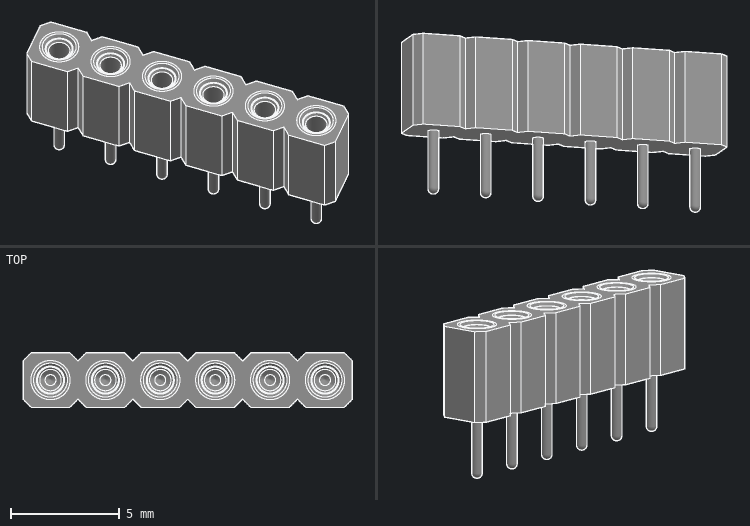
import cadquery as cq
import math

socket_count = 6
row_length = 15.24
pitch = row_length / socket_count
housing_height = 4.31
corner_chamfer = 0.38

barrel_diameter = 1.81
tail_diameter = 0.5
tail_length = 2.99
barrel_base_z = 0.5

mouth_diameter = 1.57
ledge_outer_diameter = 1.3
ledge_inner_diameter = 1.2
bore_diameter = 0.99
bore_end_diameter = 0.5
ledge_depth = 0.15
bore_start_depth = 0.27
taper_start_depth = 1.83
taper_length = 1.52
drill_tip_angle = 120.0

barrel_radius = barrel_diameter / 2
tail_radius = tail_diameter / 2
bore_radius = bore_diameter / 2
bore_end_radius = bore_end_diameter / 2
taper_end_depth = taper_start_depth + taper_length
drill_tip_depth = taper_end_depth + bore_end_radius / math.tan(math.radians(drill_tip_angle / 2))
first_socket_x = (pitch - row_length) / 2
socket_points = [(first_socket_x + i * pitch, 0) for i in range(socket_count)]


def make_housing_cell():
    """One square cell of the housing with its four upright edges chamfered."""
    cell = cq.Workplane("XY").box(pitch, pitch, housing_height, centered=(True, True, False))
    return cell.edges("|Z").chamfer(corner_chamfer)


def make_housing():
    """Row of joined cells, with a stepped hole for each contact."""
    cell = make_housing_cell()
    body = cq.Workplane("XY")
    for x, y in socket_points:
        body = body.union(cell.translate((x, y, 0)))
    barrel_holes = (
        cq.Workplane("XY", origin=(0, 0, barrel_base_z))
        .pushPoints(socket_points)
        .circle(barrel_radius)
        .extrude(housing_height - barrel_base_z)
    )
    tail_holes = cq.Workplane("XY").pushPoints(socket_points).circle(tail_radius).extrude(barrel_base_z)
    return body.cut(barrel_holes).cut(tail_holes).solids()


def make_contact(x, y):
    """Turned contact: stepped socket at the top, solid tail with a hemispherical tip below."""
    top = housing_height
    tip_center_z = tail_radius - tail_length
    arc_offset = tail_radius * math.cos(math.radians(45))
    half_profile = (
        cq.Workplane("XZ")
        .moveTo(0, -tail_length)
        .threePointArc((arc_offset, tip_center_z - arc_offset), (tail_radius, tip_center_z))
        .lineTo(tail_radius, barrel_base_z)
        .lineTo(barrel_radius, barrel_base_z)
        .lineTo(barrel_radius, top)
        .lineTo(mouth_diameter / 2, top)
        .lineTo(ledge_outer_diameter / 2, top - ledge_depth)
        .lineTo(ledge_inner_diameter / 2, top - ledge_depth)
        .lineTo(bore_radius, top - bore_start_depth)
        .lineTo(bore_radius, top - taper_start_depth)
        .lineTo(bore_end_radius, top - taper_end_depth)
        .lineTo(0, top - drill_tip_depth)
        .close()
    )
    return half_profile.revolve(360, (0, 0, 0), (0, 1, 0)).translate((x, y, 0))


housing = make_housing()
contacts = [make_contact(x, y) for x, y in socket_points]

result = cq.Compound.makeCompound([housing.val(), *[contact.val() for contact in contacts]])